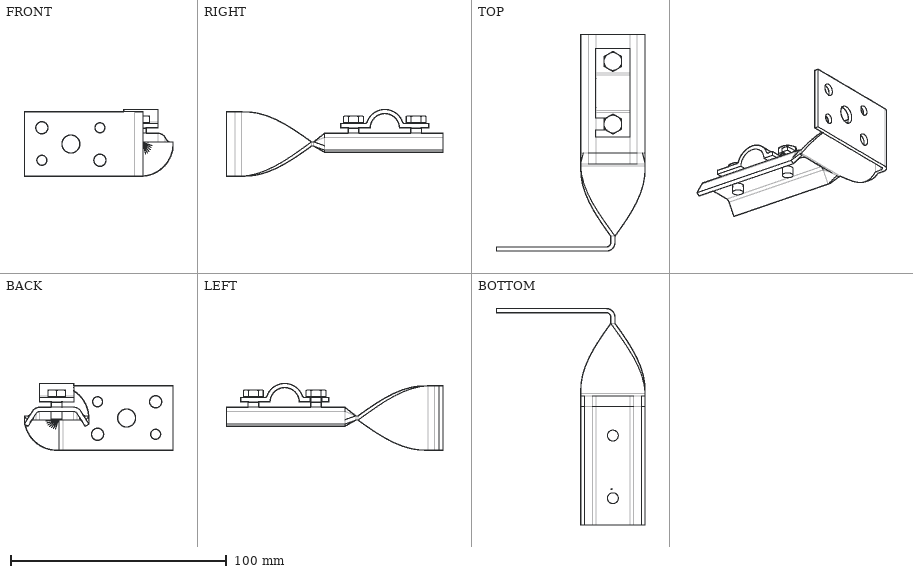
import cadquery as cq
import math


sheet = 2.0
strip_width = 29.9
half_width = strip_width / 2
half_sheet = sheet / 2

total_length = 100.5
channel_length = 55.0
transition_length = 5.0
flat_strip_length = 1.0
twist_end_y = 6.9
channel_start_y = total_length - channel_length
transition_start_y = channel_start_y - transition_length
twist_start_y = transition_start_y - flat_strip_length
twist_length = twist_start_y - twist_end_y
twist_angle = -90

plate_reach = 54.1
bend_outer_radius = 4.0
bend_inner_radius = bend_outer_radius - sheet
plate_center_x = -32.5
hole_offset_x = 13.5
hole_offset_z = 7.5
large_hole_diameter = 5.5
small_hole_diameter = 4.5
center_hole_diameter = 8.2

channel_top_z = 5.0
flat_half_width = 7.8
flange_angle = math.radians(58)
corner_outer_radius = 4.0
corner_inner_radius = corner_outer_radius - sheet
transition_crease_z = -0.8

clamp_width = 16.0
clamp_length = 40.9
clamp_center_y = 73.5
clamp_top_z = 9.5
clamp_bottom_z = clamp_top_z - sheet
arch_rise_above_plate = 1.1
arch_top_z = half_width + arch_rise_above_plate
arch_outer_radius = 8.7
arch_inner_radius = arch_outer_radius - sheet
arch_center_z = arch_top_z - arch_outer_radius
arch_fillet_radius = 1.0
bolt_clearance = 5.5

bolt_spacing = 29.0
thread_diameter = 5.0
neck_diameter = 4.5
neck_length = sheet
thread_start_depth = 2.4
bolt_length = 10.0
head_height = 3.5
head_across_flats = 8.0
head_across_corners = head_across_flats / math.cos(math.pi / 6)
head_top_diameter = 8.2
head_chamfer_angle = math.radians(30)
washer_face_diameter = 6.7
washer_face_height = 0.4
bolt_y_positions = [clamp_center_y - bolt_spacing / 2, clamp_center_y + bolt_spacing / 2]


def mirrored_in_x(point):
    return (-point[0], point[1])


def corner_arc_point(radius, angle):
    """Point on a channel corner arc, measured from the end of the flat top."""
    corner_center_z = channel_top_z - corner_outer_radius
    return (
        flat_half_width + radius * math.sin(angle),
        corner_center_z + radius * math.cos(angle),
    )


outer_flat_end = corner_arc_point(corner_outer_radius, 0)
outer_mid_arc = corner_arc_point(corner_outer_radius, flange_angle / 2)
outer_tangent = corner_arc_point(corner_outer_radius, flange_angle)
inner_flat_end = corner_arc_point(corner_inner_radius, 0)
inner_mid_arc = corner_arc_point(corner_inner_radius, flange_angle / 2)
inner_tangent = corner_arc_point(corner_inner_radius, flange_angle)
flange_slope = math.tan(flange_angle)
outer_tip = (half_width, outer_tangent[1] - (half_width - outer_tangent[0]) * flange_slope)
inner_tip = (
    outer_tip[0] - sheet * math.sin(flange_angle),
    outer_tip[1] - sheet * math.cos(flange_angle),
)
flange_crease = (
    outer_tangent[0] + (outer_tangent[1] - transition_crease_z) / flange_slope,
    transition_crease_z,
)


def section_at(y):
    """Workplane across the bracket; local X is global X, local Y is global Z."""
    return cq.Workplane("XZ", origin=(0, y, 0))


def channel_section(workplane):
    return (
        workplane.moveTo(*mirrored_in_x(outer_flat_end))
        .lineTo(*outer_flat_end)
        .threePointArc(outer_mid_arc, outer_tangent)
        .lineTo(*flange_crease)
        .lineTo(*outer_tip)
        .lineTo(*inner_tip)
        .lineTo(*inner_tangent)
        .threePointArc(inner_mid_arc, inner_flat_end)
        .lineTo(*mirrored_in_x(inner_flat_end))
        .threePointArc(mirrored_in_x(inner_mid_arc), mirrored_in_x(inner_tangent))
        .lineTo(*mirrored_in_x(inner_tip))
        .lineTo(*mirrored_in_x(outer_tip))
        .lineTo(*mirrored_in_x(flange_crease))
        .lineTo(*mirrored_in_x(outer_tangent))
        .threePointArc(mirrored_in_x(outer_mid_arc), mirrored_in_x(outer_flat_end))
        .close()
    )


def flat_section(workplane):
    """Strip section with one corner for each corner of the channel section."""
    right_side = [
        (outer_flat_end[0], half_sheet),
        (outer_tangent[0], half_sheet),
        (half_width, half_sheet),
        (half_width, -half_sheet),
        (inner_tip[0], -half_sheet),
        (inner_tangent[0], -half_sheet),
        (inner_flat_end[0], -half_sheet),
    ]
    left_side = [mirrored_in_x(point) for point in reversed(right_side)]
    return workplane.polyline(left_side[-1:] + right_side + left_side[:-1]).close()


def make_channel():
    return channel_section(section_at(total_length)).extrude(channel_length)


def make_transition():
    channel_end = channel_section(section_at(channel_start_y)).val()
    strip_end = flat_section(section_at(transition_start_y)).val()
    return cq.Workplane(cq.Solid.makeLoft([channel_end, strip_end], True))


def make_flat_strip():
    return section_at(transition_start_y).rect(strip_width, sheet).extrude(flat_strip_length)


def make_twist():
    """A quarter-turn helical strip: the +X edge drops to -Z on its way to the plate."""
    return section_at(twist_start_y).rect(strip_width, sheet).twistExtrude(twist_length, twist_angle)


def make_angle_plate():
    """Upright leg, 90 degree bend and mounting plate, without holes."""
    bend_center_x = half_sheet - bend_outer_radius
    bend_center_y = bend_outer_radius
    diagonal = math.sqrt(0.5)
    return (
        cq.Workplane("XY", origin=(0, 0, -half_width))
        .moveTo(-plate_reach, 0)
        .lineTo(bend_center_x, 0)
        .threePointArc(
            (
                bend_center_x + bend_outer_radius * diagonal,
                bend_center_y - bend_outer_radius * diagonal,
            ),
            (half_sheet, bend_center_y),
        )
        .lineTo(half_sheet, twist_end_y)
        .lineTo(-half_sheet, twist_end_y)
        .lineTo(-half_sheet, bend_center_y)
        .threePointArc(
            (
                bend_center_x + bend_inner_radius * diagonal,
                bend_center_y - bend_inner_radius * diagonal,
            ),
            (bend_center_x, sheet),
        )
        .lineTo(-plate_reach, sheet)
        .close()
        .extrude(strip_width)
    )


def plate_holes(points, diameter):
    return section_at(sheet).pushPoints(points).circle(diameter / 2).extrude(sheet)


def make_bracket():
    left = plate_center_x - hole_offset_x
    right = plate_center_x + hole_offset_x
    bolt_holes = (
        cq.Workplane("XY")
        .pushPoints([(0, y) for y in bolt_y_positions])
        .circle(thread_diameter / 2)
        .extrude(channel_top_z)
    )
    return (
        make_channel()
        .union(make_transition())
        .union(make_flat_strip())
        .union(make_twist())
        .union(make_angle_plate())
        .cut(plate_holes([(left, hole_offset_z), (right, -hole_offset_z)], large_hole_diameter))
        .cut(plate_holes([(left, -hole_offset_z), (right, hole_offset_z)], small_hole_diameter))
        .cut(plate_holes([(plate_center_x, 0)], center_hole_diameter))
        .cut(bolt_holes)
    )


def arch_cylinder(radius):
    """Cylinder along X about the arch axis, kept above the clamp's bottom face."""
    cylinder = (
        cq.Workplane("YZ", origin=(-clamp_width / 2, clamp_center_y, arch_center_z))
        .circle(radius)
        .extrude(clamp_width)
    )
    keep = (
        cq.Workplane("XY", origin=(0, clamp_center_y, clamp_bottom_z))
        .box(clamp_width, 2 * radius, 2 * radius, centered=(True, True, False))
    )
    return cylinder.intersect(keep)


def make_clamp():
    flanges = (
        cq.Workplane("XY", origin=(0, clamp_center_y, clamp_bottom_z))
        .box(clamp_width, clamp_length, sheet, centered=(True, True, False))
    )
    foot_edges = cq.selectors.BoxSelector(
        (-clamp_width, clamp_center_y - arch_outer_radius, clamp_top_z - half_sheet),
        (clamp_width, clamp_center_y + arch_outer_radius, clamp_top_z + half_sheet),
    )
    arched = (
        flanges.union(arch_cylinder(arch_outer_radius))
        .edges("|X")
        .edges(foot_edges)
        .fillet(arch_fillet_radius)
        .cut(arch_cylinder(arch_inner_radius))
    )
    bolt_holes = (
        cq.Workplane("XY", origin=(0, 0, clamp_bottom_z))
        .pushPoints([(0, y) for y in bolt_y_positions])
        .circle(bolt_clearance / 2)
        .extrude(sheet)
    )
    slot = (
        cq.Workplane("XY", origin=(-clamp_width / 2, bolt_y_positions[0], clamp_bottom_z))
        .box(clamp_width / 2, bolt_clearance, sheet, centered=(False, True, False))
    )
    return arched.cut(bolt_holes).cut(slot)


def make_bolt_head(y):
    head_bottom_z = clamp_top_z + washer_face_height
    head_top_z = clamp_top_z + head_height
    corner_radius = head_across_corners / 2
    top_radius = head_top_diameter / 2
    chamfer_height = (corner_radius - top_radius) * math.tan(head_chamfer_angle)
    hexagon = (
        cq.Workplane("XY", origin=(0, y, head_bottom_z))
        .transformed(rotate=(0, 0, 90))
        .polygon(6, head_across_corners)
        .extrude(head_top_z - head_bottom_z)
    )
    envelope = (
        section_at(y)
        .moveTo(0, head_bottom_z)
        .lineTo(corner_radius, head_bottom_z)
        .lineTo(corner_radius, head_top_z - chamfer_height)
        .lineTo(top_radius, head_top_z)
        .lineTo(0, head_top_z)
        .close()
        .revolve(360, (0, 0), (0, 1))
    )
    return hexagon.intersect(envelope)


def make_bolt_shank(y):
    """Washer face, thin neck and thread, with a cone between neck and thread."""
    washer_top_z = clamp_top_z + washer_face_height
    neck_end_z = clamp_top_z - neck_length
    thread_start_z = clamp_top_z - thread_start_depth
    tip_z = clamp_top_z - bolt_length
    return (
        section_at(y)
        .moveTo(0, washer_top_z)
        .lineTo(washer_face_diameter / 2, washer_top_z)
        .lineTo(washer_face_diameter / 2, clamp_top_z)
        .lineTo(neck_diameter / 2, clamp_top_z)
        .lineTo(neck_diameter / 2, neck_end_z)
        .lineTo(thread_diameter / 2, thread_start_z)
        .lineTo(thread_diameter / 2, tip_z)
        .lineTo(0, tip_z)
        .close()
        .revolve(360, (0, 0), (0, 1))
    )


def make_bolt(y):
    """Hex bolt pointing down, its washer face resting on the clamp."""
    return make_bolt_head(y).union(make_bolt_shank(y))


bracket = make_bracket()
clamp = make_clamp()
bolts = [make_bolt(y) for y in bolt_y_positions]

result = cq.Compound.makeCompound([bracket.val(), clamp.val(), *[bolt.val() for bolt in bolts]])